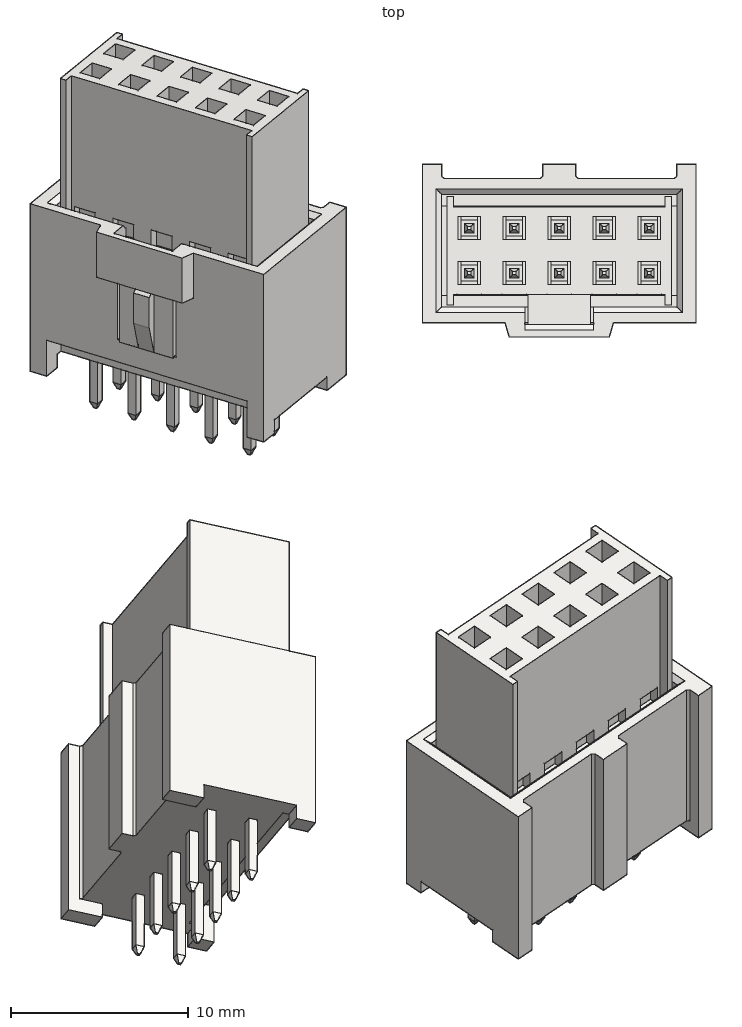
import cadquery as cq


PITCH = 2.54
COLUMNS = 5
ROWS = 2
PIN_SIZE = 0.52
PIN_TIP_SIZE = 0.17
PIN_TIP_LENGTH = 0.44
PIN_BOTTOM = -2.93

HOUSING_X = 15.41
HOUSING_Y = 8.13
HOUSING_TOP = 10.89
FLOOR_BOTTOM = 0.87
FLOOR_TOP = 2.85
FRONT_Y = -HOUSING_Y / 2
BACK_Y = HOUSING_Y / 2
CAVITY_X = 13.25
CAVITY_Y = 6.35
CAVITY_CHAMFER = 0.3

RIB_DEPTH = 0.8
RIB_CORNER = 0.13
SIDE_RIB_WIDTH = 1.1
MIDDLE_RIB_WIDTH = 1.88
FOOT_WIDTH = 1.1
FRONT_FOOT_DEPTH = 1.15
BACK_FOOT_DEPTH = 2.08
NOTCH_TOP = 2.34
NOTCH_DEPTH = 1.53

TAB_DEPTH = RIB_DEPTH
TAB_BASE_WIDTH = 6.12
TAB_FACE_WIDTH = 5.65
TAB_BOTTOM = 7.95
SLOT_WIDTH = 3.87
SLOT_BOTTOM = 3.78
SLOT_CHAMFER = 0.33

SOCKET_X = 12.65
SOCKET_BODY_Y = 4.95
SOCKET_TOP = 18.93
FLANGE_THICKNESS = 0.37
FLANGE_Y = 6.12
GUIDE_Y = 5.03
GUIDE_HEIGHT = 0.87
HOLE_SIZE = 1.3
HOLE_BOTTOM = 10.71
CONTACT_WIDTH = 0.95
CONTACT_BASE = 0.22
LEAF_THICKNESS = 0.2
CONTACT_TOP = 11.15
WINDOW_WIDTH = 1.38
WINDOW_DEPTH = 0.57
WINDOW_BOTTOM = 9.22
WINDOW_TOP = 10.5

TONGUE_WIDTH = 3.55
TONGUE_BOTTOM = 3.72
TONGUE_STAND_OUT = 0.09
TONGUE_Y = FRONT_Y - TONGUE_STAND_OUT
HOOK_WIDTH = 1.03
HOOK_STAND_OUT = 0.6
HOOK_RAMP_TOP = 5.55
HOOK_BEVEL_BOTTOM = 7.52


def block(x_min, x_max, y_min, y_max, z_min, z_max):
    """Box given by its limits along each axis."""
    return cq.Workplane("XY").box(
        x_max - x_min, y_max - y_min, z_max - z_min, centered=False
    ).translate((x_min, y_min, z_min))


def centered_block(x_size, y_min, y_max, z_min, z_max):
    """Box centred on the YZ plane."""
    return block(-x_size / 2, x_size / 2, y_min, y_max, z_min, z_max)


def post(x_size, y_size, z_min, z_max):
    """Upright box centred on the Z axis."""
    return centered_block(x_size, -y_size / 2, y_size / 2, z_min, z_max)


def centered_steps(count):
    """Positions of evenly pitched items, centred on zero."""
    return [(index - (count - 1) / 2) * PITCH for index in range(count)]


def on_columns(shape):
    """Copies of a shape at every pin column."""
    return [shape.translate((x, 0, 0)) for x in centered_steps(COLUMNS)]


def on_grid(shape):
    """Copies of a shape at every pin position."""
    return [copy.translate((0, y, 0)) for copy in on_columns(shape) for y in centered_steps(ROWS)]


def add_all(body, shapes):
    for shape in shapes:
        body = body.union(shape)
    return body


def cut_all(body, shapes):
    for shape in shapes:
        body = body.cut(shape)
    return body


def shell_blank():
    """Outer block with three upright ribs on its back face."""
    half_x = HOUSING_X / 2
    rib_y = BACK_Y + RIB_DEPTH
    blank = centered_block(HOUSING_X, FRONT_Y, rib_y, 0, HOUSING_TOP)
    channel_start = MIDDLE_RIB_WIDTH / 2
    channel_end = half_x - SIDE_RIB_WIDTH
    for x_min, x_max in ((channel_start, channel_end), (-channel_end, -channel_start)):
        channel = block(x_min, x_max, BACK_Y, rib_y, 0, HOUSING_TOP)
        channel = channel.edges("|Z and <Y").chamfer(RIB_CORNER)
        blank = blank.cut(channel)
    return blank


def front_tab():
    """Tapered tab that bridges the top of the latch slot."""
    half_base = TAB_BASE_WIDTH / 2
    half_face = TAB_FACE_WIDTH / 2
    face_y = FRONT_Y - TAB_DEPTH
    return (
        cq.Workplane("XY", origin=(0, 0, TAB_BOTTOM))
        .polyline([(-half_base, FRONT_Y), (-half_face, face_y), (half_face, face_y), (half_base, FRONT_Y)])
        .close()
        .extrude(HOUSING_TOP - TAB_BOTTOM)
    )


def cavity():
    """Socket opening with a chamfered mouth."""
    opening = post(CAVITY_X, CAVITY_Y, FLOOR_TOP, HOUSING_TOP)
    mouth = (
        cq.Workplane("XY", origin=(0, 0, HOUSING_TOP))
        .rect(CAVITY_X + 2 * CAVITY_CHAMFER, CAVITY_Y + 2 * CAVITY_CHAMFER)
        .workplane(offset=-CAVITY_CHAMFER)
        .rect(CAVITY_X, CAVITY_Y)
        .loft(ruled=True)
    )
    return opening.union(mouth)


def latch_slot():
    """Slot through the front wall, with a sloped lead-in behind the tab."""
    lead_in_y = TONGUE_Y - SLOT_CHAMFER
    return (
        cq.Workplane("YZ", origin=(-SLOT_WIDTH / 2, 0, 0))
        .polyline([
            (0, SLOT_BOTTOM),
            (TONGUE_Y, SLOT_BOTTOM),
            (TONGUE_Y, HOUSING_TOP - SLOT_CHAMFER),
            (lead_in_y, HOUSING_TOP),
            (0, HOUSING_TOP),
        ])
        .close()
        .extrude(SLOT_WIDTH)
    )


def make_housing():
    rib_y = BACK_Y + RIB_DEPTH
    between_feet_x = HOUSING_X - 2 * FOOT_WIDTH
    front_foot_y = FRONT_Y + FRONT_FOOT_DEPTH
    housing = shell_blank().union(front_tab())
    housing = housing.cut(cavity()).cut(latch_slot())
    housing = housing.cut(centered_block(between_feet_x, FRONT_Y, rib_y, 0, FLOOR_BOTTOM))
    housing = housing.cut(
        centered_block(HOUSING_X, front_foot_y, rib_y - BACK_FOOT_DEPTH, 0, FLOOR_BOTTOM)
    )
    return housing.cut(centered_block(between_feet_x, FRONT_Y, FRONT_Y + NOTCH_DEPTH, 0, NOTCH_TOP))


def window(side):
    """Blind pocket in the front (-1) or back (1) face of the socket body."""
    pocket_y = side * (SOCKET_BODY_Y - WINDOW_DEPTH) / 2
    return post(WINDOW_WIDTH, WINDOW_DEPTH, WINDOW_BOTTOM, WINDOW_TOP).translate((0, pocket_y, 0))


def contact():
    """U-shaped contact: a base with a leaf along the front and back walls of its hole."""
    gap_y = HOLE_SIZE - 2 * LEAF_THICKNESS
    blank = post(CONTACT_WIDTH, HOLE_SIZE, HOLE_BOTTOM, CONTACT_TOP)
    return blank.cut(post(CONTACT_WIDTH, gap_y, HOLE_BOTTOM + CONTACT_BASE, CONTACT_TOP))


def make_socket():
    """Socket body with end flanges, base guides, contact holes, windows and contacts."""
    socket = post(SOCKET_X, SOCKET_BODY_Y, FLOOR_TOP, SOCKET_TOP)
    flange = post(FLANGE_THICKNESS, FLANGE_Y, FLOOR_TOP, SOCKET_TOP)
    flange_x = (SOCKET_X - FLANGE_THICKNESS) / 2
    for side in (-1, 1):
        socket = socket.union(flange.translate((side * flange_x, 0, 0)))
    socket = socket.union(post(CAVITY_X, GUIDE_Y, FLOOR_TOP, FLOOR_TOP + GUIDE_HEIGHT))

    socket = cut_all(socket, on_grid(post(HOLE_SIZE, HOLE_SIZE, HOLE_BOTTOM, SOCKET_TOP)))
    for side in (-1, 1):
        socket = cut_all(socket, on_columns(window(side)))
    return add_all(socket, on_grid(contact()))


def make_latch():
    """Wide tongue on the socket front with a ramped hook in its middle."""
    tongue = centered_block(TONGUE_WIDTH, TONGUE_Y, -SOCKET_BODY_Y / 2, TONGUE_BOTTOM, TAB_BOTTOM)
    hook_y = FRONT_Y - HOOK_STAND_OUT
    hook = (
        cq.Workplane("YZ", origin=(-HOOK_WIDTH / 2, 0, 0))
        .polyline([
            (FRONT_Y, TONGUE_BOTTOM),
            (TONGUE_Y, TONGUE_BOTTOM),
            (hook_y, HOOK_RAMP_TOP),
            (hook_y, HOOK_BEVEL_BOTTOM),
            (TONGUE_Y, TAB_BOTTOM),
            (FRONT_Y, TAB_BOTTOM),
        ])
        .close()
        .extrude(HOOK_WIDTH)
    )
    return tongue.union(hook)


def pin_point(base_z, direction):
    """Tapered pin end that starts at base_z and points up (1) or down (-1)."""
    return (
        cq.Workplane("XY", origin=(0, 0, base_z))
        .rect(PIN_SIZE, PIN_SIZE)
        .workplane(offset=direction * PIN_TIP_LENGTH)
        .rect(PIN_TIP_SIZE, PIN_TIP_SIZE)
        .loft(ruled=True)
    )


def make_pin():
    """Square pin through the floor, with its upper point above the contact leaves."""
    taper_start = PIN_BOTTOM + PIN_TIP_LENGTH
    shaft = post(PIN_SIZE, PIN_SIZE, taper_start, CONTACT_TOP)
    return shaft.union(pin_point(taper_start, -1)).union(pin_point(CONTACT_TOP, 1))


body = make_housing().union(make_socket()).union(make_latch())
result = add_all(body, on_grid(make_pin()))